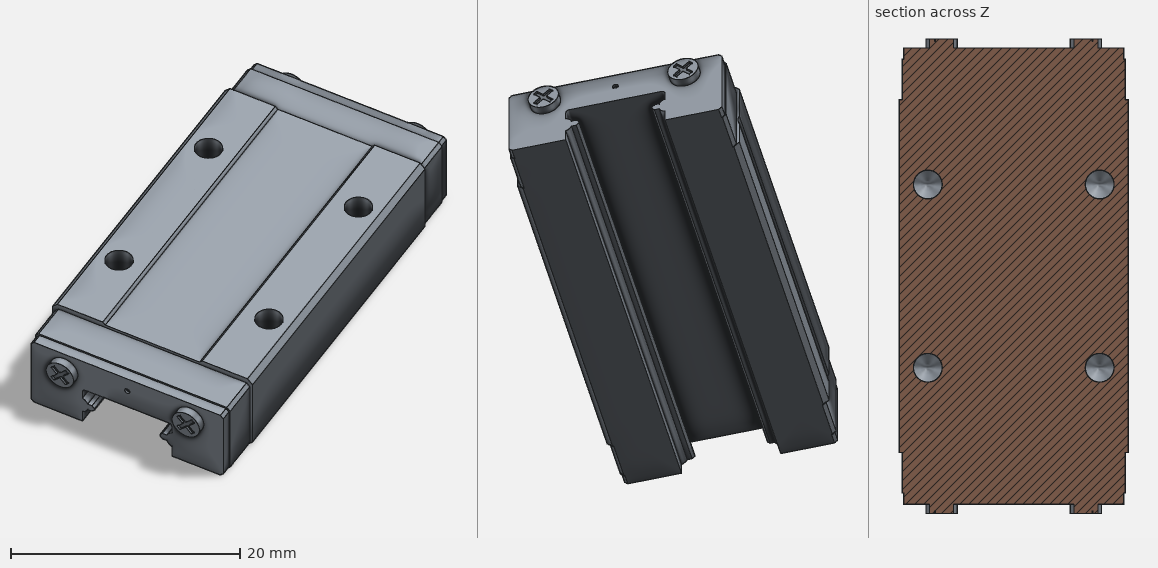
import cadquery as cq
import math

total_length = 41.4
head_height = 0.8
seal_thickness = 1.0
cap_length = 3.5
block_length = total_length - 2 * (head_height + seal_thickness + cap_length)
cap_end = block_length / 2 + cap_length
seal_end = cap_end + seal_thickness

block_width = 20.0
block_height = 8.0
block_chamfer = 0.5
cap_width = 19.45
cap_height = 7.45
cap_chamfer = 0.35
seal_width = 19.2
seal_height = 7.3
seal_chamfer = 0.3

channel_floor_width = 9.45
channel_depth = 0.25

groove_width = 0.9
groove_depth = 0.12
groove_z = 3.48

hole_diameter = 2.5
hole_depth = 3.5
hole_tip_angle = 118.0
hole_spacing_x = 15.0
hole_spacing_y = 16.0

opening_half_width = 4.47
opening_height = 3.9
opening_fillet = 0.35
ridge_z = 2.0
ridge_radius = 0.85
ridge_center_x = 4.75
nose_half_height = 0.35
nose_tip_x = 3.25
nose_chamfer = 0.25

head_diameter = 2.75
head_spacing = 12.6
head_z = 5.4
cross_length = 2.03
cross_width = 0.4
cross_depth = 0.2

grease_hole_diameter = 0.5
grease_hole_depth = 0.25
grease_hole_z = 5.8


def chamfered_bar(width, length, height, chamfer):
    """Bar along Y, centred in X and Y, with its four long edges chamfered."""
    bar = cq.Workplane("XY").box(width, length, height, centered=(True, True, False))
    return bar.edges("|Y").chamfer(chamfer)


def top_channel():
    floor_half = channel_floor_width / 2
    top_half = floor_half + channel_depth
    floor_z = block_height - channel_depth
    outline = [
        (-floor_half, floor_z),
        (floor_half, floor_z),
        (top_half, block_height),
        (-top_half, block_height),
    ]
    return cq.Workplane("XZ").polyline(outline).close().extrude(block_length / 2, both=True)


def side_groove():
    """Cylinder whose edge cuts a groove of the given width and depth."""
    radius = ((groove_width / 2) ** 2 + groove_depth**2) / (2 * groove_depth)
    center_x = -block_width / 2 + groove_depth - radius
    groove = cq.Workplane("XZ").center(center_x, groove_z).circle(radius)
    return groove.extrude(block_length / 2, both=True)


def mounting_holes():
    radius = hole_diameter / 2
    tip_depth = radius / math.tan(math.radians(hole_tip_angle / 2))
    shoulder_z = block_height - hole_depth
    half_section = [
        (0, block_height),
        (radius, block_height),
        (radius, shoulder_z),
        (0, shoulder_z - tip_depth),
    ]
    drill = cq.Workplane("XZ").polyline(half_section).close().revolve(360, (0, 0, 0), (0, 1, 0))
    points = cq.Workplane("XY").rarray(hole_spacing_x, hole_spacing_y, 2, 2)
    return points.eachpoint(lambda place: drill.val().moved(place), combine=True)


def rail_opening():
    opening = cq.Workplane("XY").box(
        2 * opening_half_width, 2 * seal_end, opening_height, centered=(True, True, False)
    )
    return opening.edges("|Y and >Z").fillet(opening_fillet)


def rail_ridge():
    """Ridge on the +X wall of the opening: a round bulge carrying a chamfered nose."""
    nose_length = ridge_center_x - nose_tip_x
    bulge = cq.Workplane("XZ").center(ridge_center_x, ridge_z).circle(ridge_radius)
    bulge = bulge.extrude(seal_end, both=True)
    nose = cq.Workplane("XZ").center(nose_tip_x + nose_length / 2, ridge_z)
    nose = nose.rect(nose_length, 2 * nose_half_height).extrude(seal_end, both=True)
    nose = nose.edges("|Y and <X").chamfer(nose_chamfer)
    return bulge.union(nose)


def screw_head():
    """Screw head standing on the -Y seal, left of center."""
    face = cq.Workplane("XZ", origin=(-head_spacing / 2, -seal_end, head_z))
    head = face.circle(head_diameter / 2).extrude(head_height)
    cross_floor = face.workplane(offset=head_height - cross_depth)
    for angle in (45, 135):
        arm = cross_floor.transformed(rotate=(0, 0, angle)).rect(cross_length, cross_width)
        head = head.cut(arm.extrude(cross_depth))
    return head


def grease_hole():
    """Cylinder that drills the grease hole into the -Y seal."""
    face = cq.Workplane("XZ", origin=(0, -seal_end, grease_hole_z))
    return face.circle(grease_hole_diameter / 2).extrude(-grease_hole_depth)


block = chamfered_bar(block_width, block_length, block_height, block_chamfer)
block = block.cut(top_channel()).cut(side_groove())
caps = chamfered_bar(cap_width, 2 * cap_end, cap_height, cap_chamfer)
seals = chamfered_bar(seal_width, 2 * seal_end, seal_height, seal_chamfer)

result = block.union(caps).union(seals)
result = result.cut(rail_opening()).cut(mounting_holes())

front_grease_hole = grease_hole()
result = result.cut(front_grease_hole).cut(front_grease_hole.mirror("XZ"))

right_ridge = rail_ridge()
result = result.union(right_ridge).union(right_ridge.mirror("YZ"))

front_left_head = screw_head()
front_heads = front_left_head.union(front_left_head.mirror("YZ"))
result = result.union(front_heads).union(front_heads.mirror("XZ"))